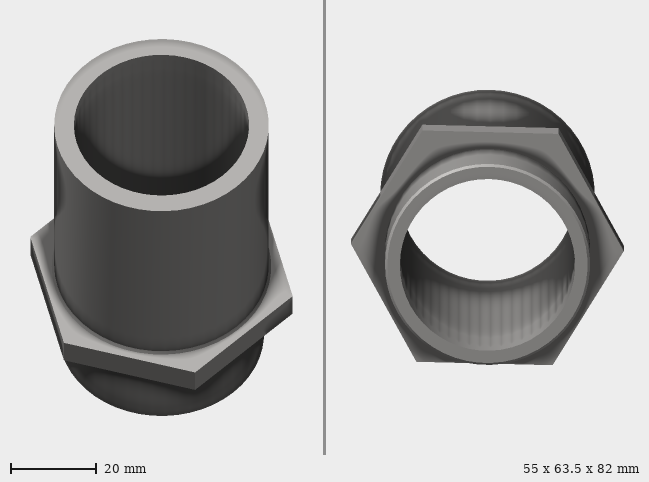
import cadquery as cq
import math

total_height = 82.0
spigot_top = 17.05
hex_bottom = 20.0
hex_top = 26.8

bore_diameter = 40.8
spigot_diameter = 47.8
tube_diameter = 50.0
hex_across_flats = 55.0

spigot_chamfer = 0.6
tube_root_flare = 0.6
groove_edge_radius = 23.5
groove_floor_radius = 22.4

bore_radius = bore_diameter / 2
spigot_radius = spigot_diameter / 2
tube_radius = tube_diameter / 2


def make_spigot():
    """Chamfered lower spigot with the rounded relief groove under the hexagon."""
    groove_middle = (spigot_top + hex_bottom) / 2
    profile = (
        cq.Workplane("XZ")
        .moveTo(0, 0)
        .lineTo(spigot_radius - spigot_chamfer, 0)
        .lineTo(spigot_radius, spigot_chamfer)
        .lineTo(spigot_radius, spigot_top)
        .lineTo(groove_edge_radius, spigot_top)
        .threePointArc((groove_floor_radius, groove_middle), (groove_edge_radius, hex_bottom))
        .lineTo(0, hex_bottom)
        .close()
    )
    return profile.revolve(360, (0, 0), (0, 1))


def make_hexagon():
    """Hexagonal collar with flats facing +X and -X."""
    across_corners = hex_across_flats / math.cos(math.pi / 6)
    return (
        cq.Workplane("XY")
        .workplane(offset=hex_bottom)
        .transformed(rotate=(0, 0, 30))
        .polygon(6, across_corners)
        .extrude(hex_top - hex_bottom)
    )


def make_tube():
    """Upper tube, flared by a small cone where it meets the hexagon."""
    profile = (
        cq.Workplane("XZ")
        .moveTo(0, hex_top)
        .lineTo(tube_radius + tube_root_flare, hex_top)
        .lineTo(tube_radius, hex_top + tube_root_flare)
        .lineTo(tube_radius, total_height)
        .lineTo(0, total_height)
        .close()
    )
    return profile.revolve(360, (0, 0), (0, 1))


bore = cq.Workplane("XY").circle(bore_radius).extrude(total_height)

result = make_spigot().union(make_hexagon()).union(make_tube()).cut(bore)